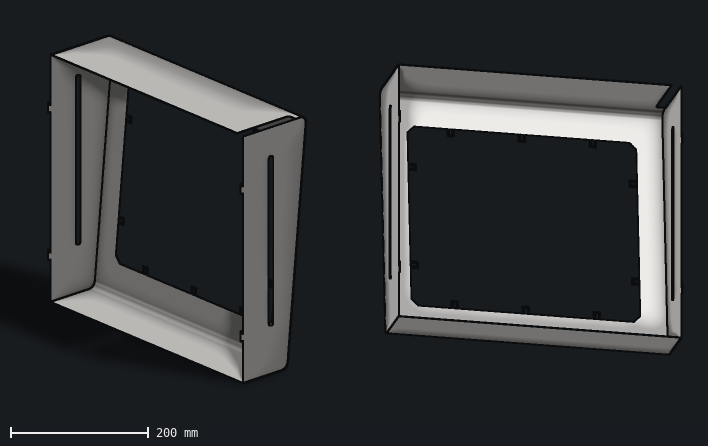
import cadquery as cq
import math

WIDTH = 422.5
HEIGHT = 388.0
DEPTH = 122.5
SHEET = 1.0
TOP_SETBACK = SHEET
BEND_RADIUS = 12.0
TILT = math.radians(5.5)

OPENING_WIDTH = 341.2
OPENING_HEIGHT = 285.5
OPENING_CHAMFER = 10.0
OPENING_DROP = 1.0

EYELET_WIDTH = 10.0
EYELET_LENGTH = 11.5
EYE_WIDTH = 5.0
EYE_LENGTH = 10.0
EYELET_PITCH_X = 106.0
EYELET_PITCH_Z = 156.0

NOTCH_WIDTH = 14.8
NOTCH_LENGTH = 101.5
NOTCH_RADIUS = 3.5

SLOT_WIDTH = 9.0
SLOT_LENGTH = 266.0
SLOT_Y = 54.0
SLOT_TOP_GAP = 46.0

HOOK_REACH = 5.0
HOOK_HEIGHT = 16.0
HOOK_GAP_WIDTH = 1.5
HOOK_GAP_HEIGHT = 5.0
HOOK_BASES = (67.0, 298.0)

BEND_Z_TOP = HEIGHT - BEND_RADIUS
BEND_Z_BOTTOM = BEND_RADIUS
BEND_Y_TOP = DEPTH - BEND_RADIUS
BEND_Y_BOTTOM = BEND_Y_TOP - (BEND_Z_TOP - BEND_Z_BOTTOM) * math.tan(TILT)


def profile_prism(inset, x_start, length):
    """Solid of the side profile, moved inward by inset everywhere but at the open rim."""
    radius = BEND_RADIUS - inset

    def on_bend(y, z, angle):
        return (y + radius * math.cos(angle), z + radius * math.sin(angle))

    panel_normal = -TILT
    top_middle = (math.pi / 2 + panel_normal) / 2
    bottom_middle = (-math.pi / 2 + panel_normal) / 2
    return (
        cq.Workplane("YZ", origin=(x_start, 0, 0))
        .moveTo(0, inset)
        .lineTo(BEND_Y_BOTTOM, inset)
        .threePointArc(
            on_bend(BEND_Y_BOTTOM, BEND_Z_BOTTOM, bottom_middle),
            on_bend(BEND_Y_BOTTOM, BEND_Z_BOTTOM, panel_normal),
        )
        .lineTo(*on_bend(BEND_Y_TOP, BEND_Z_TOP, panel_normal))
        .threePointArc(
            on_bend(BEND_Y_TOP, BEND_Z_TOP, top_middle),
            (BEND_Y_TOP, HEIGHT - inset),
        )
        .lineTo(0, HEIGHT - inset)
        .close()
        .extrude(length)
    )


def panel_plane():
    """Plane on the outer panel face, centred on the opening.

    Local x is X, local y runs up the panel and local z points inward.
    """
    center_y = (BEND_Y_TOP + BEND_Y_BOTTOM) / 2 + BEND_RADIUS / math.cos(TILT)
    inward = (0, -math.cos(TILT), math.sin(TILT))
    middle = cq.Plane(origin=(0, center_y, HEIGHT / 2), xDir=(1, 0, 0), normal=inward)
    return cq.Plane(middle.toWorldCoords((0, -OPENING_DROP, 0)), middle.xDir, middle.zDir)


def opening_cutter():
    """Chamfered rectangle through the panel."""
    return (
        cq.Workplane(panel_plane())
        .rect(OPENING_WIDTH, OPENING_HEIGHT)
        .extrude(SHEET)
        .edges(cq.selectors.ParallelDirSelector(panel_plane().zDir))
        .chamfer(OPENING_CHAMFER)
    )


def eyelet(x, y, angle):
    """Tab with a round-ended eye, rooted at panel point (x, y) and pointing along angle."""
    eye_straight = EYE_LENGTH - EYE_WIDTH / 2
    plane = panel_plane()
    plane = cq.Plane(plane.toWorldCoords((x, y, 0)), plane.xDir, plane.zDir).rotated((0, 0, angle))
    tab = (
        cq.Workplane(plane)
        .moveTo(0, -EYELET_WIDTH / 2)
        .lineTo(EYELET_LENGTH, -EYELET_WIDTH / 2)
        .lineTo(EYELET_LENGTH, EYELET_WIDTH / 2)
        .lineTo(0, EYELET_WIDTH / 2)
        .close()
        .extrude(SHEET)
    )
    eye = (
        cq.Workplane(plane)
        .moveTo(0, -EYE_WIDTH / 2)
        .lineTo(eye_straight, -EYE_WIDTH / 2)
        .threePointArc((EYE_LENGTH, 0), (eye_straight, EYE_WIDTH / 2))
        .lineTo(0, EYE_WIDTH / 2)
        .close()
        .extrude(SHEET)
    )
    return tab.cut(eye)


def eyelets():
    """All the tabs, pointing into the opening from its four edges."""
    tabs = []
    for x in (-EYELET_PITCH_X, 0, EYELET_PITCH_X):
        tabs.append(eyelet(x, OPENING_HEIGHT / 2, -90))
        tabs.append(eyelet(x, -OPENING_HEIGHT / 2, 90))
    for y in (-EYELET_PITCH_Z / 2, EYELET_PITCH_Z / 2):
        tabs.append(eyelet(-OPENING_WIDTH / 2, y, 0))
        tabs.append(eyelet(OPENING_WIDTH / 2, y, 180))
    return tabs


def notch_cutter():
    """Block centred on the front corner, so that one quarter of it cuts an open-ended notch."""
    return (
        cq.Workplane("XY", origin=(WIDTH / 2, 0, HEIGHT - SHEET))
        .rect(2 * NOTCH_WIDTH, 2 * NOTCH_LENGTH)
        .extrude(SHEET)
        .edges("|Z")
        .fillet(NOTCH_RADIUS)
    )


def setback_cutter():
    """Strip that trims the front edge of the top sheet."""
    return (
        cq.Workplane("XY", origin=(0, 0, HEIGHT - SHEET))
        .rect(WIDTH, 2 * TOP_SETBACK)
        .extrude(SHEET)
    )


def make_frame():
    """Bent sheet: top, tilted panel and bottom."""
    frame = profile_prism(0, -WIDTH / 2, WIDTH).cut(profile_prism(SHEET, -WIDTH / 2, WIDTH))
    frame = frame.cut(opening_cutter()).cut(notch_cutter()).cut(setback_cutter())
    for tab in eyelets():
        frame = frame.union(tab)
    return frame


def hook(x_start, base_z):
    """Hook in front of the rim, pointing up, with a gap between it and the plate."""
    top_z = base_z + HOOK_HEIGHT
    gap_z = top_z - HOOK_GAP_HEIGHT
    return (
        cq.Workplane("YZ", origin=(x_start, 0, 0))
        .moveTo(0, base_z)
        .lineTo(-HOOK_REACH, base_z)
        .lineTo(-HOOK_REACH, top_z)
        .lineTo(-HOOK_GAP_WIDTH, top_z)
        .lineTo(-HOOK_GAP_WIDTH, gap_z)
        .lineTo(0, gap_z)
        .close()
        .extrude(SHEET)
    )


def make_side_plate(x_start):
    """Flat plate closing one end of the frame, flush with the frame's end."""
    slot_z = HEIGHT - SLOT_TOP_GAP - SLOT_LENGTH / 2
    slot = (
        cq.Workplane("YZ", origin=(x_start, SLOT_Y, slot_z))
        .slot2D(SLOT_LENGTH, SLOT_WIDTH, 90)
        .extrude(SHEET)
    )
    plate = profile_prism(SHEET, x_start, SHEET).cut(slot)
    for base_z in HOOK_BASES:
        plate = plate.union(hook(x_start, base_z))
    return plate


frame = make_frame()
side_plates = [make_side_plate(x_start) for x_start in (-WIDTH / 2, WIDTH / 2 - SHEET)]

bodies = [frame, *side_plates]
result = cq.Compound.makeCompound([body.solids().val() for body in bodies])